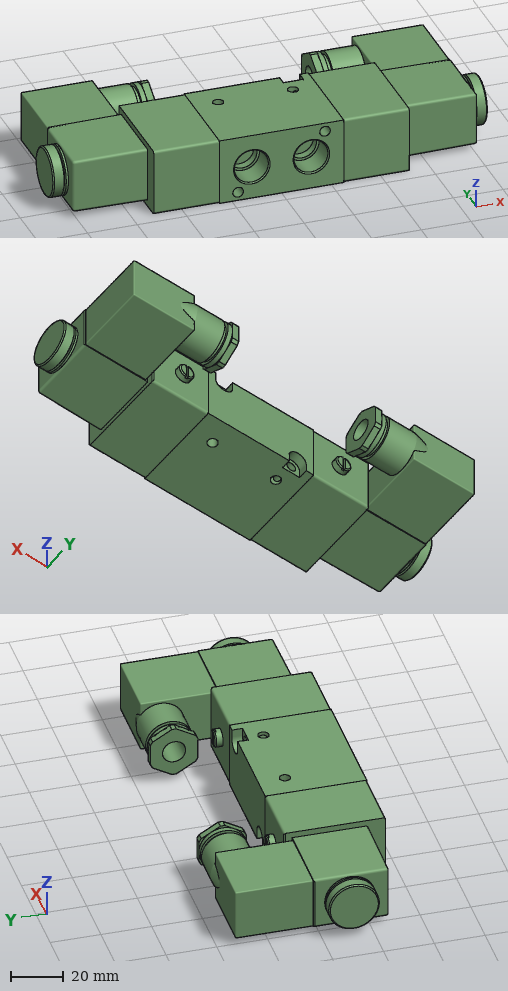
import cadquery as cq
import math

BODY_LENGTH = 50.0
BODY_DEPTH = 40.0
BODY_HEIGHT = 27.0
PORT_SPACING = 24.0
PORT_RADIUS = 6.8
PORT_MOUTH_RADIUS = 7.3
PORT_MOUTH_DEPTH = 0.5
PORT_DEPTH = 10.5
PORT_CORE_RADIUS = 5.8
PORT_CORE_DEPTH = 14.0
SIDE_HOLE_RADIUS = 2.1
SIDE_HOLE_X = 17.5
SIDE_HOLE_Z = 10.0
HEAD_SLOT_WIDTH = 8.0
HEAD_SLOT_DEPTH = 4.2
TOP_HOLE_RADIUS = 2.1
TOP_HOLE_SPACING = 30.0
TOP_HOLE_Y = 9.5

PILOT_LENGTH = 26.4
PILOT_FILLET = 1.0
PILOT_END_CHAMFER = 0.5
SCREW_X = 37.2
SCREW_RADIUS = 3.5
SCREW_TOP_Y = 23.0
SCREW_CHAMFER = 0.5
SCREW_SLOT = 1.0

COIL_LENGTH = 29.9
COIL_FRONT_Y = -13.1
COIL_BACK_Y = 16.8
COIL_HEIGHT = 22.0
COIL_TAPER = 0.5
COIL_FILLET = 1.0
COIL_BACK_CHAMFER = 0.5
KNOB_Y = 2.5
KNOB_RADIUS = 10.0
KNOB_LENGTH = 4.4
KNOB_CHAMFER = 0.5
KNOB_NECK_RADIUS = 8.2
KNOB_NECK_LENGTH = 0.9
CONNECTOR_INNER_X = 52.1
CONNECTOR_OUTER_X = 81.0
CONNECTOR_BACK_Y = 47.4
CONNECTOR_HEIGHT = 20.8
CONNECTOR_FILLET = 0.5
GLAND_Y = 39.7
GLAND_DIAMETER = 18.7
GLAND_NECK_RADIUS = 8.0
GLAND_BORE_RADIUS = 4.5
GLAND_CONE_LENGTH = 7.3
GLAND_CONE_RADIUS = 7.5
GLAND_TUBE_END_X = 39.2
NUT_BACK_X = 37.5
NUT_HEX_X = 35.5
NUT_FRONT_X = 32.5
NUT_SIDES = 6
NUT_CORNER_RADIUS = 10.3
HALF_LENGTH = 87.4

PILOT_INNER_X = BODY_LENGTH / 2
PILOT_OUTER_X = PILOT_INNER_X + PILOT_LENGTH
GLAND_RADIUS = GLAND_DIAMETER / 2
COIL_DEPTH = COIL_BACK_Y - COIL_FRONT_Y
COIL_OUTER_X = PILOT_OUTER_X + COIL_LENGTH
KNOB_INNER_X = HALF_LENGTH - KNOB_LENGTH
BODY_BACK_Y = BODY_DEPTH / 2


def box_between(x0, x1, y0, y1, height):
    """Box between two X and two Y values, centred on Z = 0."""
    return cq.Workplane("XY").box(x1 - x0, y1 - y0, height).translate(((x0 + x1) / 2, (y0 + y1) / 2, 0))


def rod_x(radius, x0, x1, y):
    """Round rod along X between two X values, on Z = 0."""
    return cq.Workplane("YZ", origin=(x0, 0, 0)).center(y, 0).circle(radius).extrude(x1 - x0)


def port_cutter(x):
    """Stepped port bored from the -Y face."""
    face = cq.Workplane("XZ", origin=(x, -BODY_BACK_Y, 0))
    bore = face.circle(PORT_RADIUS).extrude(-PORT_DEPTH)
    mouth = face.circle(PORT_MOUTH_RADIUS).workplane(offset=-PORT_MOUTH_DEPTH).circle(PORT_RADIUS).loft()
    core = face.circle(PORT_CORE_RADIUS).extrude(-PORT_CORE_DEPTH)
    return bore.union(mouth).union(core)


def side_hole_cutter():
    """Mounting hole along Y with an open-sided recess for the screw head at its +Y end."""
    hole = (
        cq.Workplane("XZ", origin=(SIDE_HOLE_X, BODY_BACK_Y, SIDE_HOLE_Z))
        .circle(SIDE_HOLE_RADIUS)
        .extrude(BODY_DEPTH)
    )
    half_width = HEAD_SLOT_WIDTH / 2
    rise = BODY_HEIGHT / 2 - SIDE_HOLE_Z
    recess = (
        cq.Workplane("XZ", origin=(SIDE_HOLE_X, BODY_BACK_Y, SIDE_HOLE_Z))
        .moveTo(-half_width, rise)
        .lineTo(-half_width, 0)
        .threePointArc((0, -half_width), (half_width, 0))
        .lineTo(half_width, rise)
        .close()
        .extrude(HEAD_SLOT_DEPTH)
    )
    return hole.union(recess)


def make_body():
    body = cq.Workplane("XY").box(BODY_LENGTH, BODY_DEPTH, BODY_HEIGHT)
    for side in (-1, 1):
        body = body.cut(port_cutter(side * PORT_SPACING / 2))
        top_hole = cq.Workplane("XY").center(side * TOP_HOLE_SPACING / 2, TOP_HOLE_Y).circle(TOP_HOLE_RADIUS)
        body = body.cut(top_hole.extrude(BODY_HEIGHT / 2, both=True))
    for turn in (0, 180):
        body = body.cut(side_hole_cutter().rotate((0, 0, 0), (0, 1, 0), turn))
    return body


def make_pilot():
    """Pilot block at the +X end, with its slotted override screw."""
    block = box_between(PILOT_INNER_X, PILOT_OUTER_X, -BODY_BACK_Y, BODY_BACK_Y, BODY_HEIGHT)
    block = block.edges("|X").fillet(PILOT_FILLET)
    corner = (
        cq.Workplane("XY", origin=(PILOT_OUTER_X, BODY_BACK_Y, -BODY_HEIGHT / 2))
        .polyline([(0, 0), (-PILOT_END_CHAMFER, 0), (0, -PILOT_END_CHAMFER)])
        .close()
        .extrude(BODY_HEIGHT)
    )
    block = block.cut(corner)
    screw = (
        cq.Workplane("XZ", origin=(SCREW_X, 0, 0))
        .circle(SCREW_RADIUS)
        .extrude(-SCREW_TOP_Y)
        .faces(">Y")
        .chamfer(SCREW_CHAMFER)
    )
    slot = box_between(
        SCREW_X - SCREW_SLOT / 2, SCREW_X + SCREW_SLOT / 2,
        SCREW_TOP_Y - SCREW_SLOT, SCREW_TOP_Y, 2 * SCREW_RADIUS,
    )
    return block.union(screw.cut(slot))


def make_coil():
    """Coil block that narrows slightly away from the pilot block, with a plain +Y face."""
    block = (
        cq.Workplane("YZ", origin=(PILOT_OUTER_X, 0, 0))
        .center(COIL_FRONT_Y + COIL_DEPTH, 0)
        .rect(2 * COIL_DEPTH, COIL_HEIGHT)
        .extrude(COIL_LENGTH, taper=COIL_TAPER)
        .edges("not <X")
        .fillet(COIL_FILLET)
    )
    kept = box_between(PILOT_OUTER_X, COIL_OUTER_X, COIL_FRONT_Y, COIL_BACK_Y, COIL_HEIGHT)
    return block.intersect(kept.edges("|Z and >X and >Y").chamfer(COIL_BACK_CHAMFER))


def make_knob():
    """Round knob behind a thin neck and washer on the outer face of the coil."""
    neck_start = KNOB_INNER_X - KNOB_NECK_LENGTH
    washer = rod_x(KNOB_RADIUS, COIL_OUTER_X, neck_start, KNOB_Y)
    neck = rod_x(KNOB_NECK_RADIUS, neck_start, KNOB_INNER_X, KNOB_Y)
    knob = rod_x(KNOB_RADIUS, KNOB_INNER_X, HALF_LENGTH, KNOB_Y).faces(">X").chamfer(KNOB_CHAMFER)
    return washer.union(neck).union(knob)


def make_nut():
    """Hexagonal nut with rounded corners and a round collar behind it."""
    collar = rod_x(GLAND_RADIUS, NUT_HEX_X, NUT_BACK_X, GLAND_Y)
    hexagon = (
        cq.Workplane("YZ", origin=(NUT_FRONT_X, GLAND_Y, 0))
        .polygon(NUT_SIDES, 2 * GLAND_RADIUS / math.cos(math.pi / NUT_SIDES))
        .extrude(NUT_HEX_X - NUT_FRONT_X)
        .rotate((0, GLAND_Y, 0), (1, GLAND_Y, 0), 180 / NUT_SIDES)
    )
    rounding = rod_x(NUT_CORNER_RADIUS, NUT_FRONT_X, NUT_HEX_X, GLAND_Y)
    return collar.union(hexagon.intersect(rounding))


def make_connector():
    """Connector box behind the coil, with a cable gland pointing to the middle."""
    box = box_between(CONNECTOR_INNER_X, CONNECTOR_OUTER_X, COIL_BACK_Y, CONNECTOR_BACK_Y, CONNECTOR_HEIGHT)
    box = box.edges("not <Y").fillet(CONNECTOR_FILLET)
    cone = (
        cq.Workplane("YZ", origin=(CONNECTOR_INNER_X, GLAND_Y, 0))
        .circle(GLAND_RADIUS)
        .workplane(offset=GLAND_CONE_LENGTH)
        .circle(GLAND_CONE_RADIUS)
        .loft()
    )
    tube = rod_x(GLAND_RADIUS, GLAND_TUBE_END_X, CONNECTOR_INNER_X, GLAND_Y)
    neck = rod_x(GLAND_NECK_RADIUS, NUT_BACK_X, GLAND_TUBE_END_X, GLAND_Y)
    bore = rod_x(GLAND_BORE_RADIUS, NUT_FRONT_X, CONNECTOR_INNER_X, GLAND_Y)
    gland = tube.union(neck).union(make_nut()).cut(bore)
    return box.union(cone).union(gland)


def make_solenoid():
    """Solenoid at the +X end: coil, knob and connector as one piece."""
    return make_coil().union(make_knob()).union(make_connector())


def both_ends(part):
    """The +X part and its mirror image at the -X end."""
    return [part.val(), part.mirror("YZ").val()]


body = make_body()
pilots = both_ends(make_pilot())
solenoids = both_ends(make_solenoid())

result = cq.Compound.makeCompound([body.val(), *pilots, *solenoids])